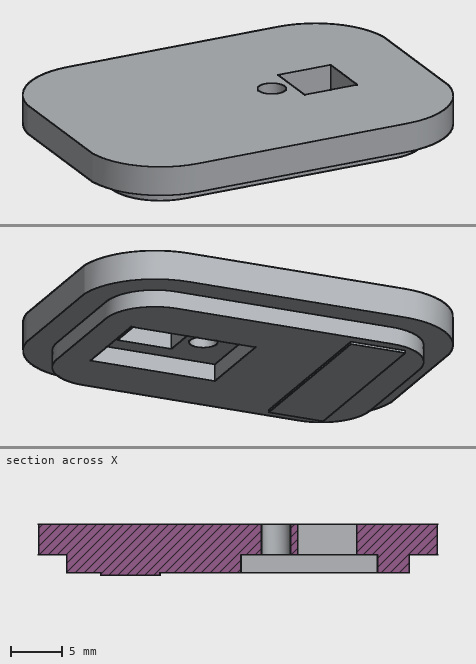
import cadquery as cq
import math

plate_width = 28.0
plate_length = 38.94
overall_height = 5.0

plate_thickness = 3.0
panel_thickness = 0.25
plug_thickness = overall_height - plate_thickness - panel_thickness

side_straight = 23.0
plate_end_straight = 14.0
plug_end_straight = 11.8

plug_corner_radius = 5.2
plug_width = plug_end_straight + 2 * plug_corner_radius
plug_length = side_straight + 2 * plug_corner_radius

panel_width = 19.7
panel_length = 5.8
panel_center = (-0.15, -10.5)

window_size = 5.75
window_center_y = 8.7
hole_diameter = 2.8
hole_center_y = 3.7

recess_margin = 2.0
recess_width = window_size + 2 * recess_margin
recess_top_y = window_center_y + window_size / 2 + recess_margin
recess_bottom_y = hole_center_y - hole_diameter / 2 - recess_margin
recess_length = recess_top_y - recess_bottom_y
recess_center_y = (recess_top_y + recess_bottom_y) / 2

plug_bottom = panel_thickness
plate_bottom = plug_bottom + plug_thickness


def make_plate():
    """Plate whose corner arcs are tangent to the long sides and meet the ends at a slight angle."""
    half_width = plate_width / 2
    half_length = plate_length / 2
    half_side = side_straight / 2
    half_end = plate_end_straight / 2

    arc_dx = half_width - half_end
    arc_dy = half_length - half_side
    radius = (arc_dx**2 + arc_dy**2) / (2 * arc_dx)
    center_x = half_width - radius
    half_sweep = math.atan2(arc_dy, half_end - center_x) / 2
    mid_x = center_x + radius * math.cos(half_sweep)
    mid_y = half_side + radius * math.sin(half_sweep)

    return (
        cq.Workplane("XY")
        .workplane(offset=plate_bottom)
        .moveTo(half_width, -half_side)
        .lineTo(half_width, half_side)
        .threePointArc((mid_x, mid_y), (half_end, half_length))
        .lineTo(-half_end, half_length)
        .threePointArc((-mid_x, mid_y), (-half_width, half_side))
        .lineTo(-half_width, -half_side)
        .threePointArc((-mid_x, -mid_y), (-half_end, -half_length))
        .lineTo(half_end, -half_length)
        .threePointArc((mid_x, -mid_y), (half_width, -half_side))
        .close()
        .extrude(plate_thickness)
    )


def make_plug():
    return (
        cq.Workplane("XY")
        .workplane(offset=plug_bottom)
        .rect(plug_width, plug_length)
        .extrude(plug_thickness)
        .edges("|Z")
        .fillet(plug_corner_radius)
    )


def make_panel():
    return (
        cq.Workplane("XY")
        .center(*panel_center)
        .rect(panel_width, panel_length)
        .extrude(panel_thickness)
    )


def make_openings():
    """Square window and round hole, as cutters through the full height."""
    base = cq.Workplane("XY")
    window = base.center(0, window_center_y).rect(window_size, window_size).extrude(overall_height)
    hole = base.center(0, hole_center_y).circle(hole_diameter / 2).extrude(overall_height)
    return window.union(hole)


def make_recess():
    """Cutter from the underside up to the bottom face of the plate."""
    return (
        cq.Workplane("XY")
        .center(0, recess_center_y)
        .rect(recess_width, recess_length)
        .extrude(plate_bottom)
    )


body = make_plate().union(make_plug()).union(make_panel())
result = body.cut(make_recess()).cut(make_openings())